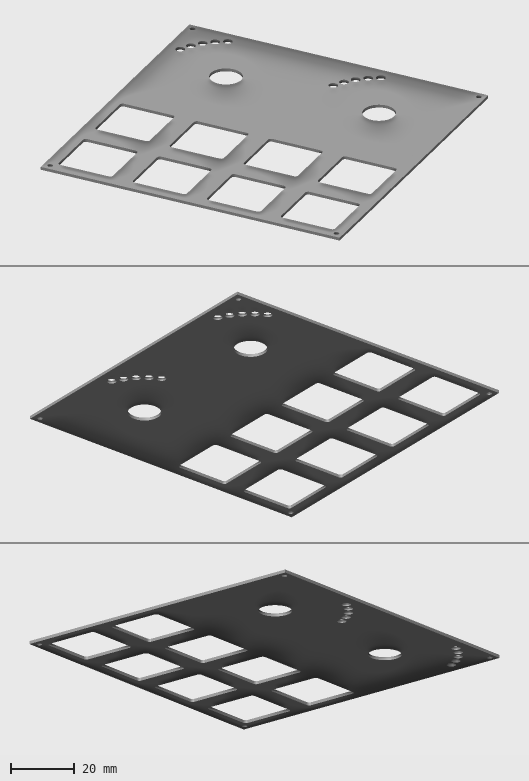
import cadquery as cq
import math

side = 104.4
thickness = 1.0

mount_diameter = 1.8
mount_inset = 2.2

knob_diameter = 10.5
knob_offset = 26.7
knob_centers = [(-knob_offset, knob_offset), (knob_offset, knob_offset)]
indicator_diameter = 3.0
indicator_radius = 23.0
indicator_count = 5
indicator_first_angle = 115
indicator_angle_step = 10

window_side = 18.9
window_corner_radius = 1.0
window_pitch = 25.9
window_columns = 4
window_rows = 2
window_center_y = -window_pitch


def indicator_centers(knob_center):
    """Points on the indicator arc around one knob."""
    x, y = knob_center
    points = []
    for i in range(indicator_count):
        angle = math.radians(indicator_first_angle + i * indicator_angle_step)
        points.append((x + indicator_radius * math.cos(angle), y + indicator_radius * math.sin(angle)))
    return points


def window_cutters():
    """Rounded square prisms that cut the grid of button windows."""
    return (
        cq.Workplane("XY")
        .center(0, window_center_y)
        .rarray(window_pitch, window_pitch, window_columns, window_rows)
        .rect(window_side, window_side)
        .extrude(thickness)
        .edges("|Z")
        .fillet(window_corner_radius)
    )


def drill(body, centers, diameter):
    """Drill through holes at the given points."""
    top = body.faces(">Z").workplane(origin=(0, 0, thickness))
    return top.pushPoints(centers).hole(diameter)


plate = cq.Workplane("XY").box(side, side, thickness, centered=(True, True, False))

mount_offset = side / 2 - mount_inset
mount_centers = [(x, y) for x in (-mount_offset, mount_offset) for y in (-mount_offset, mount_offset)]
plate = drill(plate, mount_centers, mount_diameter)

plate = drill(plate, knob_centers, knob_diameter)
for knob_center in knob_centers:
    plate = drill(plate, indicator_centers(knob_center), indicator_diameter)

result = plate.cut(window_cutters())